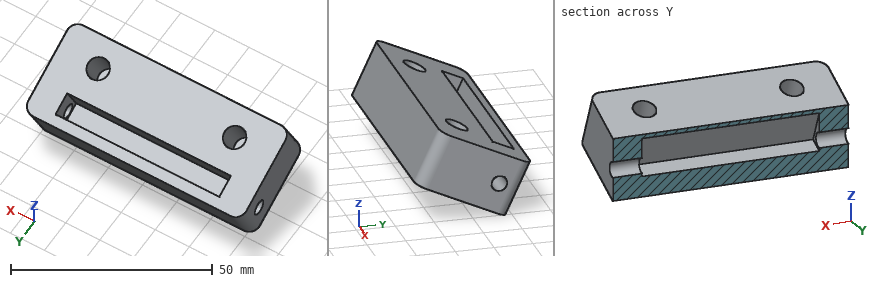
import cadquery as cq

length = 64.0
width = 26.0
height = 15.0
corner_radius = 3.0
tilt_angle = -25.0

slot_length = 48.0
slot_width = 6.0
slot_depth = 10.0
slot_wall = 3.0

hole_diameter = 6.01
hole_spacing = 40.0
hole_from_front = 8.0
hole_depth = 12.0

pin_diameter = 4.0

top_z = height / 2
slot_y = width / 2 - slot_wall - slot_width / 2
hole_y = -width / 2 + hole_from_front


def make_block():
    """Centred block with rounded upright corners."""
    return cq.Workplane("XY").box(length, width, height).edges("|Z").fillet(corner_radius)


def make_slot():
    """Rectangular pocket sunk from the top face near the back."""
    return (
        cq.Workplane("XY", origin=(0, slot_y, top_z))
        .rect(slot_length, slot_width)
        .extrude(-slot_depth)
    )


def make_holes():
    """Pair of flat-bottomed holes sunk from the top face."""
    return (
        cq.Workplane("XY", origin=(0, hole_y, top_z))
        .pushPoints([(-hole_spacing / 2, 0), (hole_spacing / 2, 0)])
        .circle(hole_diameter / 2)
        .extrude(-hole_depth)
    )


def make_pin_hole():
    """Pin hole at mid height, on the slot's centre line, from end to end."""
    return (
        cq.Workplane("YZ", origin=(0, slot_y, 0))
        .circle(pin_diameter / 2)
        .extrude(length / 2, both=True)
    )


block = make_block().cut(make_slot()).cut(make_holes()).cut(make_pin_hole())
result = block.rotate((0, 0, 0), (1, 0, 0), tilt_angle)